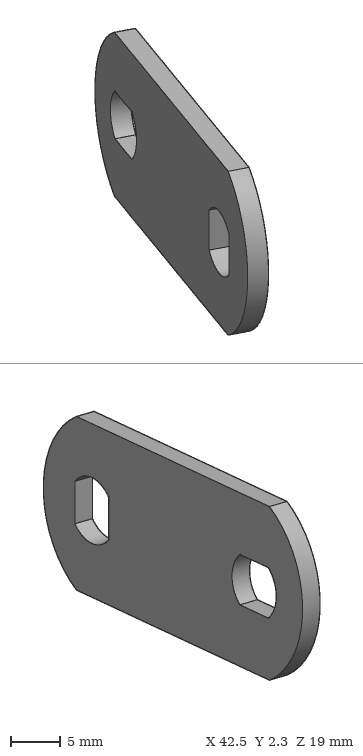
import cadquery as cq

length = 42.45
height = 19.0
thickness = 2.3
end_radius = 11.05

hole_spacing = 26.55
hole_diameter = 7.2
hole_across_flats = 5.5


def bar_along_y(width, depth):
    """Rectangular bar of the plate's thickness, centred on the origin."""
    return cq.Workplane("XY").box(width, thickness, depth)


def disc_along_y(radius):
    """Round disc of the plate's thickness, centred on the origin."""
    return cq.Workplane("XZ").circle(radius).extrude(thickness / 2, both=True)


def plate():
    """Flat plate with straight long edges and a bowed arc at each end."""
    end_center = length / 2 - end_radius
    body = bar_along_y(2 * end_center, height)
    for side in (-1, 1):
        end = disc_along_y(end_radius).intersect(bar_along_y(length, height))
        body = body.union(end.translate((side * end_center, 0, 0)))
    return body.clean()


def double_flat_hole(flats_turn):
    """Cutter for a round hole with two flats, turned about Y from horizontal flats."""
    cutter = disc_along_y(hole_diameter / 2).intersect(bar_along_y(hole_diameter, hole_across_flats))
    return cutter.rotate((0, 0, 0), (0, 1, 0), flats_turn)


left_hole = double_flat_hole(0).translate((-hole_spacing / 2, 0, 0))
right_hole = double_flat_hole(90).translate((hole_spacing / 2, 0, 0))

result = plate().cut(left_hole).cut(right_hole)